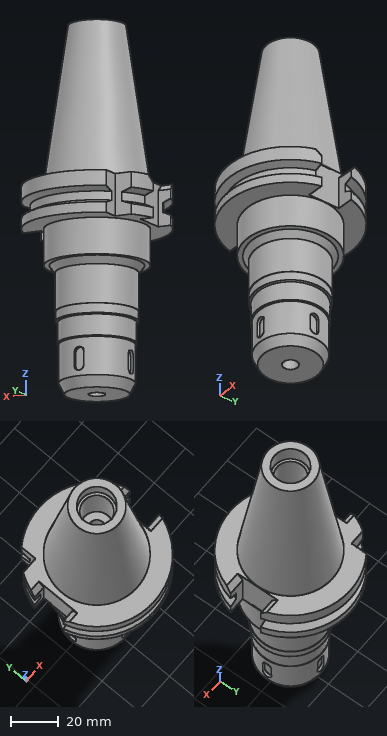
import cadquery as cq

total_height = 158.4
nose_chamfer_top = 4.8
nose_top = 21.2
nose_cone_top = 21.7
collar_top = 30.7
collar_cone_top = 31.2
relief_top = 35.3
shank_top = 52.1
body_bottom = 55.3
flange_bottom = 71.0
groove_lower_edge = 75.4
groove_floor_bottom = 77.1
groove_floor_top = 81.0
groove_upper_edge = 82.5
flange_top = 89.2
taper_base = 90.1

nose_end_radius = 13.8
nose_radius = 16.2
collar_radius = 16.6
relief_radius = 17.5
shank_radius = 17.6
shank_cone_radius = 20.0
body_radius = 22.3
flange_radius = 63.5 / 2
groove_radius = 28.0
taper_end_radius = 12.2

through_radius = 7.1 / 2
entry_radius = 8.4
entry_depth = 8.2
inner_radius = 7.1
inner_depth = 31.7

keyway_width = 15.8
keyway_chamfer = 2.7
keyway_floor_left = 24.9
keyway_floor_right = 22.5

notch_offset = 18.2

slot_width = 4.5
slot_length = 10.1
slot_center_height = 12.2
slot_depth = 1.5
slot_count = 4


def make_turned_body():
    """Revolve the outer profile around Z."""
    profile = [
        (0, 0),
        (nose_end_radius, 0),
        (nose_radius, nose_chamfer_top),
        (nose_radius, nose_top),
        (collar_radius, nose_cone_top),
        (collar_radius, collar_top),
        (relief_radius, collar_cone_top),
        (relief_radius, relief_top),
        (shank_radius, relief_top),
        (shank_radius, shank_top),
        (shank_cone_radius, body_bottom),
        (body_radius, body_bottom),
        (body_radius, flange_bottom),
        (flange_radius, flange_bottom),
        (flange_radius, groove_lower_edge),
        (groove_radius, groove_floor_bottom),
        (groove_radius, groove_floor_top),
        (flange_radius, groove_upper_edge),
        (flange_radius, flange_top),
        (body_radius, flange_top),
        (body_radius, taper_base),
        (taper_end_radius, total_height),
        (0, total_height),
    ]
    return cq.Workplane("XZ").polyline(profile).close().revolve(360, (0, 0), (0, 1))


def cut_bore(part):
    """Drill through and open the two wider steps from the top."""
    part = part.cut(cq.Workplane("XY").circle(through_radius).extrude(total_height))
    for radius, depth in ((inner_radius, inner_depth), (entry_radius, entry_depth)):
        start = total_height - depth
        part = part.cut(cq.Workplane("XY", origin=(0, 0, start)).circle(radius).extrude(depth))
    return part


def make_keyway(floor):
    """Keyway on the +X side, flared at the top of the flange."""
    half_width = keyway_width / 2
    flare_half_width = half_width + keyway_chamfer
    section = [
        (-half_width, flange_bottom),
        (half_width, flange_bottom),
        (half_width, flange_top - keyway_chamfer),
        (flare_half_width, flange_top),
        (-flare_half_width, flange_top),
        (-half_width, flange_top - keyway_chamfer),
    ]
    plane = cq.Workplane("YZ", origin=(floor, 0, 0))
    return plane.polyline(section).close().extrude(flange_radius - floor)


def cut_keyways(part):
    right = make_keyway(keyway_floor_right)
    left = make_keyway(keyway_floor_left).rotate((0, 0, 0), (0, 0, 1), 180)
    return part.cut(right).cut(left)


def cut_notch(part):
    size = flange_radius - notch_offset
    notch = cq.Workplane("XY").box(size, size, flange_top - flange_bottom, centered=False)
    return part.cut(notch.translate((-flange_radius, notch_offset, flange_bottom)))


def cut_nose_slots(part):
    floor = nose_radius - slot_depth
    slot = (
        cq.Workplane("YZ", origin=(floor, 0, slot_center_height))
        .slot2D(slot_length, slot_width, 90)
        .extrude(2 * slot_depth)
    )
    for i in range(slot_count):
        part = part.cut(slot.rotate((0, 0, 0), (0, 0, 1), i * 360 / slot_count))
    return part


result = cut_nose_slots(cut_notch(cut_keyways(cut_bore(make_turned_body()))))